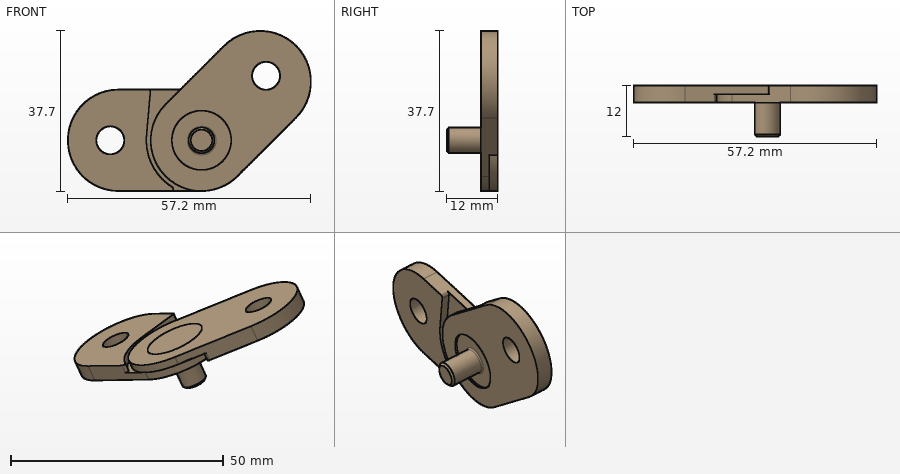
import cadquery as cq
import math

overall_length = 57.25
end_radius = 11.95
plate_thickness = 4.0
tongue_thickness = plate_thickness / 2
swing_angle = 45.0

end_spacing = (overall_length - 2 * end_radius) / (1 + math.cos(math.radians(swing_angle)))

hole_distance = 21.45
hole_radius = 3.25
relief_radius = 13.0
stop_angle = 5.0
relief_corner_round = 0.5

head_radius = 7.0
head_recess = 0.5
pin_radius = 3.05
pin_projection = 8.0
pin_root_fillet = 0.35
pin_end_chamfer = 0.5


def plate_outline():
    """Stadium plate from the pivot towards -X, front face at Y = 0."""
    return (
        cq.Workplane("XZ")
        .moveTo(0, end_radius)
        .lineTo(-end_spacing, end_radius)
        .threePointArc((-end_spacing - end_radius, 0), (-end_spacing, -end_radius))
        .lineTo(0, -end_radius)
        .threePointArc((end_radius, 0), (0, end_radius))
        .close()
        .extrude(-plate_thickness)
    )


def tongue_relief():
    """Half-thickness cutter: clearance arc, slanted stop line and rounded corners."""
    stop = math.radians(stop_angle)
    tangent_x = -relief_radius * math.cos(stop)
    tangent_z = relief_radius * math.sin(stop)
    stop_top_x = tangent_x + (end_radius - tangent_z) * math.tan(stop)

    tip_center_z = relief_corner_round - end_radius
    tip_center_distance = relief_radius + relief_corner_round
    tip_center_x = -math.sqrt(tip_center_distance**2 - tip_center_z**2)
    contact_ratio = relief_radius / tip_center_distance
    contact = (tip_center_x * contact_ratio, tip_center_z * contact_ratio)
    contact_angle = math.atan2(-contact[1], -contact[0])
    arc_middle_angle = (contact_angle - stop) / 2
    arc_middle = (
        -relief_radius * math.cos(arc_middle_angle),
        -relief_radius * math.sin(arc_middle_angle),
    )
    far_x = 2 * end_radius

    setback = relief_corner_round * math.tan(math.pi / 4 + stop / 2)
    upper_center_x = stop_top_x - setback
    upper_center_z = end_radius - relief_corner_round
    upper_middle_angle = math.pi / 4 - stop / 2
    upper_middle = (
        upper_center_x + relief_corner_round * math.cos(upper_middle_angle),
        upper_center_z + relief_corner_round * math.sin(upper_middle_angle),
    )
    upper_end = (
        upper_center_x + relief_corner_round * math.cos(stop),
        upper_center_z - relief_corner_round * math.sin(stop),
    )
    return (
        cq.Workplane("XZ")
        .moveTo(upper_center_x, end_radius)
        .threePointArc(upper_middle, upper_end)
        .lineTo(tangent_x, tangent_z)
        .threePointArc(arc_middle, contact)
        .threePointArc((tip_center_x + relief_corner_round, tip_center_z), (tip_center_x, -end_radius))
        .lineTo(far_x, -end_radius)
        .lineTo(far_x, end_radius)
        .close()
        .extrude(-tongue_thickness)
    )


def cylinder(radius, x, front_y, back_y):
    """Cylinder parallel to Y between two Y positions."""
    return (
        cq.Workplane("XZ", origin=(x, front_y, 0))
        .circle(radius)
        .extrude(front_y - back_y)
    )


def make_arm():
    """Hinge arm pointing to -X with its half-thickness tongue at the back."""
    mounting_hole = cylinder(hole_radius, -hole_distance, 0, plate_thickness)
    pivot_hole = cylinder(head_radius, 0, 0, plate_thickness)
    return plate_outline().cut(tongue_relief()).cut(mounting_hole).cut(pivot_hole)


def make_swung_arm():
    """The same arm turned over so its tongue is in front, then swung up."""
    turned_over = (
        make_arm()
        .rotate((0, 0, 0), (0, 0, 1), 180)
        .translate((0, plate_thickness, 0))
    )
    return turned_over.rotate((0, 0, 0), (0, 1, 0), -swing_angle)


def make_pivot_pin():
    """Wide pivot head filling both tongues, with a slimmer pin in front."""
    head = cylinder(head_radius, 0, head_recess, plate_thickness)
    shank = cylinder(pin_radius, 0, -pin_projection, head_recess)
    shank = shank.faces("<Y").chamfer(pin_end_chamfer)
    root_size = pin_root_fillet
    root_edge = cq.selectors.BoxSelector(
        (-root_size - pin_radius, head_recess - root_size, -root_size - pin_radius),
        (root_size + pin_radius, head_recess + root_size, root_size + pin_radius),
        boundingbox=True,
    )
    return head.union(shank).edges(root_edge).fillet(root_size)


fixed_arm = make_arm()
swung_arm = make_swung_arm()
pivot_pin = make_pivot_pin()

result = cq.Compound.makeCompound([fixed_arm.val(), swung_arm.val(), pivot_pin.val()])